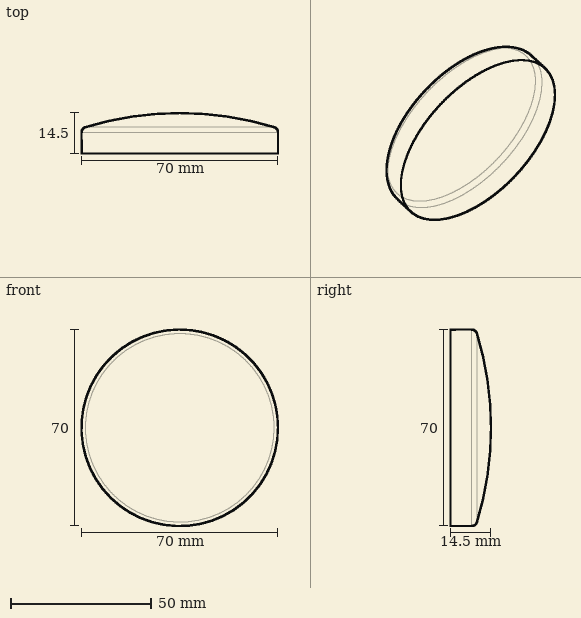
import cadquery as cq

diameter = 70.0
total_depth = 14.5
rim_depth = 9.0
edge_fillet = 2.0

radius = diameter / 2
dome_rise = total_depth - rim_depth
dome_radius = (radius**2 + dome_rise**2) / (2 * dome_rise)
dome_center_y = total_depth - dome_radius

mid_x = radius / 2
mid_y = dome_center_y + (dome_radius**2 - mid_x**2) ** 0.5

disc = (
    cq.Workplane("XY")
    .moveTo(0, 0)
    .lineTo(radius, 0)
    .lineTo(radius, rim_depth)
    .threePointArc((mid_x, mid_y), (0, total_depth))
    .close()
    .revolve(360, (0, 0, 0), (0, 1, 0))
)

rim_band = cq.selectors.BoxSelector(
    (-diameter, rim_depth - edge_fillet, -diameter),
    (diameter, rim_depth + edge_fillet, diameter),
    boundingbox=True,
)
result = disc.edges(rim_band).fillet(edge_fillet)